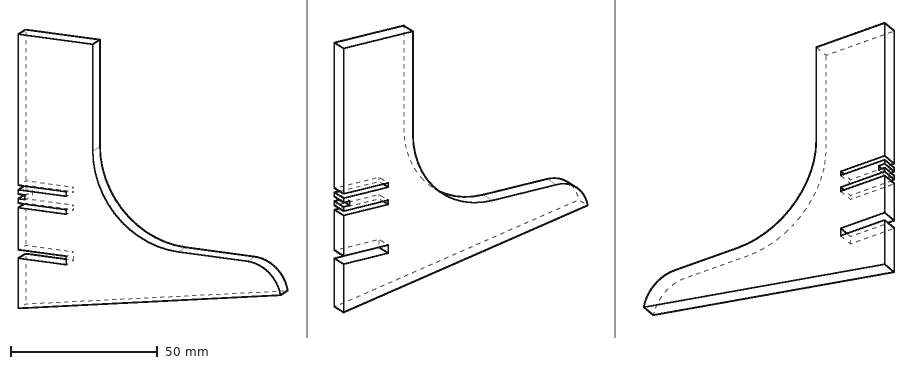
import cadquery as cq
import math

thickness = 6.0
height = 97.94

bottom_length = 100.0
bottom_angle = math.radians(10.0)
tip_x = bottom_length * math.cos(bottom_angle)
tip_z = bottom_length * math.sin(bottom_angle)

upright_width = 28.0
inner_height = 70.0
arm_top_z = height - inner_height
corner_radius = 32.0
corner_center_x = upright_width + corner_radius
corner_center_z = arm_top_z + corner_radius
corner_mid_angle = math.radians(225.0)

nose_radius = 12.8
nose_center_z = arm_top_z - nose_radius
nose_tip_rise = tip_z - nose_center_z
nose_center_x = tip_x - math.sqrt(nose_radius**2 - nose_tip_rise**2)
nose_start_angle = math.asin(nose_tip_rise / nose_radius)
nose_end_angle = math.radians(90.0)
nose_mid_angle = (nose_start_angle + nose_end_angle) / 2

slot_depth = 18.0
wide_slot_height = 3.0
wide_slot_drop = 77.0
narrow_slot_height = 1.6
narrow_slot_drop = 53.95

notch_depth = 2.5
narrow_slot_pitch = 2 * narrow_slot_height
narrow_slot_depths = (slot_depth, notch_depth, slot_depth)


def arc_point(center_x, center_z, radius, angle):
    """Point on a circle at the given angle, measured from +X towards +Z."""
    return (center_x + radius * math.cos(angle), center_z + radius * math.sin(angle))


def make_plate():
    """L-shaped plate with a rounded inner corner and a tapering, rounded lower arm."""
    corner_mid = arc_point(corner_center_x, corner_center_z, corner_radius, corner_mid_angle)
    nose_mid = arc_point(nose_center_x, nose_center_z, nose_radius, nose_mid_angle)
    return (
        cq.Workplane("XZ")
        .moveTo(0, 0)
        .lineTo(tip_x, tip_z)
        .threePointArc(nose_mid, (nose_center_x, arm_top_z))
        .lineTo(corner_center_x, arm_top_z)
        .threePointArc(corner_mid, (upright_width, corner_center_z))
        .lineTo(upright_width, height)
        .lineTo(0, height)
        .close()
        .extrude(-thickness)
    )


def make_slot(drop, slot_height, depth):
    """Rectangular cutter through the full thickness, starting at the left edge."""
    bottom_z = height - drop - slot_height
    return cq.Workplane("XY").box(depth, thickness, slot_height, centered=False).translate((0, 0, bottom_z))


def cut_slots(plate):
    """Cut the wide slot, then the two narrow slots with the notch between them."""
    plate = plate.cut(make_slot(wide_slot_drop, wide_slot_height, slot_depth))
    for index, depth in enumerate(narrow_slot_depths):
        drop = narrow_slot_drop + index * narrow_slot_pitch
        plate = plate.cut(make_slot(drop, narrow_slot_height, depth))
    return plate


result = cut_slots(make_plate())